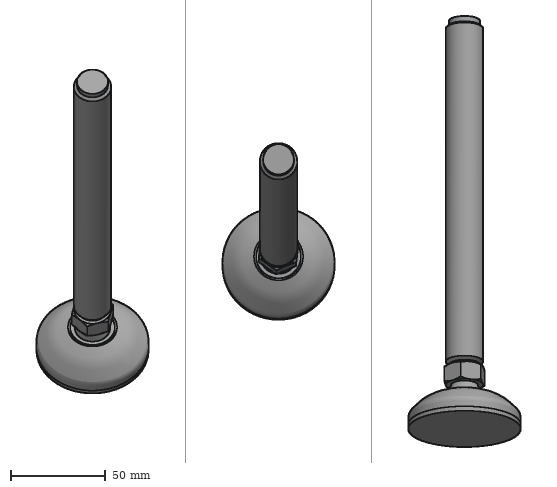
import cadquery as cq
import math

total_height = 229.2
foot_diameter = 59.8

pad_height = 2.5

foot_wall_top = 6.2
dome_start_height = 8.7
foot_top = 19.0
foot_top_diameter = 26.1
recess_diameter = 23.8
recess_depth = 0.5
recess_floor = foot_top - recess_depth
shoulder_inset = 1.0
dome_radius = 29.8

neck_base_diameter = 18.8
neck_cone_top_diameter = 15.5
neck_cone_top = 22.7
neck_diameter = 14.2
hex_bottom = 24.8
hex_top = 34.5
hex_across_flats = 20.0
hex_chamfer_angle = 30.0
undercut_diameter = 16.0
rod_bottom = 36.2
rod_diameter = 20.0
rod_bottom_chamfer = 1.5
tip_diameter = 16.5
tip_height = 3.0
rod_top_chamfer_height = 1.4


def revolve_profile(profile):
    """Turn a closed radius-height profile about the Z axis."""
    return profile.close().revolve(360, (0, 0, 0), (0, 1, 0))


def arc_middle(start, end, radius):
    """Middle of a short arc that bulges outward and upward, rising from start to end."""
    run = end[0] - start[0]
    rise = end[1] - start[1]
    chord = math.hypot(run, rise)
    sagitta = radius - math.sqrt(radius**2 - (chord / 2) ** 2)
    return (
        (start[0] + end[0]) / 2 + sagitta * rise / chord,
        (start[1] + end[1]) / 2 - sagitta * run / chord,
    )


def make_pad():
    """Plain disc below the foot."""
    return cq.Workplane("XY").circle(foot_diameter / 2).extrude(pad_height)


def make_foot():
    """Low dome whose rounded shoulder meets a cylindrical wall, with a shallow top recess."""
    outer_radius = foot_diameter / 2
    wall_top = (outer_radius, foot_wall_top)
    dome_start = (outer_radius - shoulder_inset, dome_start_height)
    dome_end = (foot_top_diameter / 2, foot_top)
    return revolve_profile(
        cq.Workplane("XZ")
        .moveTo(0, pad_height)
        .lineTo(outer_radius, pad_height)
        .lineTo(*wall_top)
        .tangentArcPoint(dome_start, relative=False)
        .threePointArc(arc_middle(dome_start, dome_end, dome_radius), dome_end)
        .lineTo(recess_diameter / 2, foot_top)
        .lineTo(recess_diameter / 2, recess_floor)
        .lineTo(0, recess_floor)
    )


def make_hexagon():
    """Hexagon with corners on the X axis, chamfered at both ends."""
    corner_radius = hex_across_flats / math.sqrt(3)
    flat_radius = hex_across_flats / 2
    chamfer_height = (corner_radius - flat_radius) * math.tan(math.radians(hex_chamfer_angle))
    prism = (
        cq.Workplane("XY", origin=(0, 0, hex_bottom))
        .polygon(6, 2 * corner_radius)
        .extrude(hex_top - hex_bottom)
    )
    envelope = revolve_profile(
        cq.Workplane("XZ")
        .moveTo(0, hex_bottom)
        .lineTo(flat_radius, hex_bottom)
        .lineTo(corner_radius, hex_bottom + chamfer_height)
        .lineTo(corner_radius, hex_top - chamfer_height)
        .lineTo(flat_radius, hex_top)
        .lineTo(0, hex_top)
    )
    return prism.intersect(envelope)


def make_spindle():
    """Neck, hexagon and long rod in one piece, standing in the recess of the foot."""
    rod_radius = rod_diameter / 2
    tip_bottom = total_height - tip_height
    neck = revolve_profile(
        cq.Workplane("XZ")
        .moveTo(0, recess_floor)
        .lineTo(neck_base_diameter / 2, recess_floor)
        .lineTo(neck_cone_top_diameter / 2, neck_cone_top)
        .lineTo(neck_diameter / 2, hex_bottom)
        .lineTo(0, hex_bottom)
    )
    rod = revolve_profile(
        cq.Workplane("XZ")
        .moveTo(0, hex_top)
        .lineTo(undercut_diameter / 2, hex_top)
        .lineTo(undercut_diameter / 2, rod_bottom)
        .lineTo(rod_radius, rod_bottom + rod_bottom_chamfer)
        .lineTo(rod_radius, tip_bottom - rod_top_chamfer_height)
        .lineTo(tip_diameter / 2, tip_bottom)
        .lineTo(tip_diameter / 2, total_height)
        .lineTo(0, total_height)
    )
    return neck.union(make_hexagon()).union(rod)


pad = make_pad()
foot = make_foot()
spindle = make_spindle()

result = cq.Compound.makeCompound([pad.val(), foot.val(), spindle.val()])